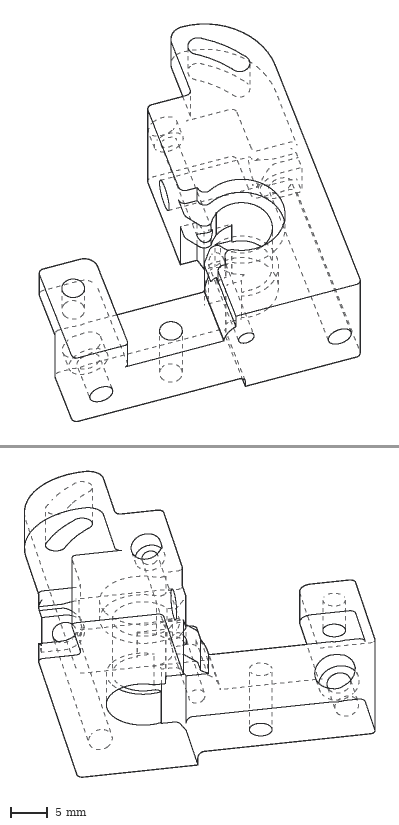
import cadquery as cq
import math

length = 48.05
width = 41.15
height = 17.0
corner_radius = 0.75

block_left = 11.05
block_front = 22.4
lug_bottom = 11.05
lug_front = 28.9
lug_big_radius = 10.1
slot_radius = 1.4
slot_start = (3.75, 32.15)
slot_end = (8.15, 36.65)
slot_bulge = 0.35

bore_x = 32.25
bore_y = 29.15
bore_radius = 4.2
clip_bottom = 8.9
clip_top = 14.0
upper_bore_radius = 5.9
lower_bore_radius = 5.0
lower_bore_depth = 5.05
mouth_left = 26.1
mouth_corner_radius = 0.9
shoulder_right_y = 24.55
shoulder_left_y = 24.8
shoulder_inner_y = 25.25
shoulder_radius = 0.95
throat_half_width = 0.95
throat_y = 24.7
throat_radius = 1.15
funnel_inner_half_width = 3.45
funnel_inner_y = 26.65
funnel_outer_half_width = 4.25
funnel_outer_radius = 0.95
channel_left = 27.85
channel_right = 37.2
channel_back = 27.55
channel_radius = 0.8

arm_left = 39.45
arm_bottom = 2.1
arm_top = 11.95
arm_root_y = 23.2
arm_root_radius = 0.9
arm_hole_x = 44.25
arm_hole_y = 15.2
rib_left = 38.55
rib_z = 11.75
rib_radius = 3.2
rib_cove_radius = 0.3
end_left = 32.55
end_width = 7.95
end_back_radius = 1.9
end_notch_radius = 0.5
end_hole_x = 36.85
end_hole_y = 3.65
end_clearance_radius = 2.75
vertical_hole_radius = 1.55

clamp_hole_y = 24.7
clamp_hole_z = 11.25
clamp_hole_radius = 1.1
clamp_head_radius = 2.05
clamp_head_depth = 2.8
arm_bolt_y = 4.05
arm_bolt_z = 7.05
bolt_radius = 1.65
arm_bolt_head_radius = 2.8
arm_bolt_head_depth = 2.9
front_hole_x = 19.05
front_hole_z = 6.8
front_hole_radius = 2.1

relief_front = 35.1
relief_depth = 7.7
seat_y = 38.0
seat_z = 5.85
seat_radius = 2.85
seat_depth = 2.9
seat_lip_radius = 1.1


def box(x_range, y_range, z_range):
    size = [high - low for low, high in (x_range, y_range, z_range)]
    return cq.Workplane("XY").box(*size, centered=False).translate((x_range[0], y_range[0], z_range[0]))


def cylinder_x(y, z, radius, start, end):
    return cq.Workplane("YZ", origin=(start, y, z)).circle(radius).extrude(end - start)


def cylinder_z(x, y, radius, bottom, top):
    return cq.Workplane("XY", origin=(x, y, bottom)).circle(radius).extrude(top - bottom)


def prism(points, bottom, top):
    return cq.Workplane("XY", origin=(0, 0, bottom)).polyline(points).close().extrude(top - bottom)


def round_vertical(solid, places, radius, bottom=0.0, top=height):
    """Round the vertical edges that stand at the given XY places between two heights."""
    reach = 0.15
    for x, y in places:
        selector = cq.selectors.BoxSelector(
            (x - reach, y - reach, bottom - reach), (x + reach, y + reach, top + reach), boundingbox=True
        )
        solid = solid.edges("|Z").edges(selector).fillet(radius)
    return solid


def make_plate():
    """Upper layer of the block together with the lug."""
    big_turn = lug_big_radius * math.sqrt(0.5)
    big_y = width - lug_big_radius
    tip_radius = big_y - lug_front
    tip_sag = tip_radius * (1 - math.sqrt(0.5))
    plate = (
        cq.Workplane("XY", origin=(0, 0, lug_bottom))
        .moveTo(block_left, block_front)
        .lineTo(length, block_front)
        .lineTo(length, width)
        .lineTo(lug_big_radius, width)
        .threePointArc((lug_big_radius - big_turn, big_y + big_turn), (0, big_y))
        .threePointArc((tip_sag, lug_front + tip_sag), (tip_radius, lug_front))
        .lineTo(block_left, lug_front)
        .close()
        .extrude(height - lug_bottom)
    )
    corners = [(block_left, lug_front), (block_left, block_front), (length, width)]
    return round_vertical(plate, corners, corner_radius)


def make_slot():
    """Slightly curved slot through the lug."""
    dx = slot_end[0] - slot_start[0]
    dy = slot_end[1] - slot_start[1]
    chord = math.hypot(dx, dy)
    nx, ny = -dy / chord, dx / chord

    def side(offset, bulge):
        first = (slot_start[0] + nx * offset, slot_start[1] + ny * offset)
        last = (slot_end[0] + nx * offset, slot_end[1] + ny * offset)
        middle = ((first[0] + last[0]) / 2 + nx * bulge, (first[1] + last[1]) / 2 + ny * bulge)
        return first, middle, last

    outer = side(slot_radius, slot_bulge)
    inner = side(-slot_radius, slot_bulge)
    web = (
        cq.Workplane("XY", origin=(0, 0, lug_bottom))
        .moveTo(*outer[0])
        .threePointArc(outer[1], outer[2])
        .lineTo(*inner[2])
        .threePointArc(inner[1], inner[0])
        .close()
        .extrude(height - lug_bottom)
    )
    for x, y in (slot_start, slot_end):
        web = web.union(cylinder_z(x, y, slot_radius, lug_bottom, height))
    return web


def make_lower_block():
    """Block below the lug, with its relieved rear part and the bolt-head seat."""
    relief_left = block_left + relief_depth
    outline = [
        (block_left, block_front),
        (length, block_front),
        (length, width),
        (relief_left, width),
        (relief_left, relief_front),
        (block_left, relief_front),
    ]
    block = prism(outline, 0, lug_bottom)
    corners = [
        (block_left, block_front),
        (length, width),
        (relief_left, width),
        (relief_left, relief_front),
        (block_left, relief_front),
    ]
    block = round_vertical(block, corners, corner_radius, 0, lug_bottom)
    return block.cut(make_seat(relief_left))


def make_seat(face_x):
    """U-shaped seat sunk into the relief face, open to the rear, with a rounded lip."""
    mouth_radius = seat_radius + seat_lip_radius
    lip_sag = seat_lip_radius * (1 - math.sqrt(0.5))
    section = (
        cq.Workplane("XZ", origin=(0, seat_y, seat_z))
        .moveTo(block_left, 0)
        .lineTo(block_left, mouth_radius)
        .lineTo(face_x, mouth_radius)
        .threePointArc((face_x + lip_sag, seat_radius + lip_sag), (face_x + seat_lip_radius, seat_radius))
        .lineTo(face_x + seat_depth, seat_radius)
        .lineTo(face_x + seat_depth, 0)
        .close()
    )
    round_end = section.revolve(360, (0, 0, 0), (1, 0, 0))
    upper_half = section.toPending().extrude(seat_y - width)
    lower_half = upper_half.mirror("XY", (0, 0, seat_z))
    seat = round_end.union(upper_half).union(lower_half)
    return seat.intersect(box((0, length), (relief_front, width), (0, lug_bottom)))


def make_upper_mouth():
    """Opening above the clip: a round pocket whose neck widens towards the front."""
    half_neck = math.sqrt(upper_bore_radius**2 - (bore_y - shoulder_inner_y) ** 2)
    shoulders = [(bore_x - half_neck, shoulder_inner_y), (bore_x + half_neck, shoulder_inner_y)]
    neck = prism(
        [
            (mouth_left, 0),
            (mouth_left, shoulder_left_y),
            *shoulders,
            (arm_left, shoulder_right_y),
            (arm_left, 0),
        ],
        clip_top,
        height,
    )
    mouth = cylinder_z(bore_x, bore_y, upper_bore_radius, clip_top, height).union(neck)
    return round_vertical(mouth, shoulders, shoulder_radius, clip_top)


def make_clip_mouth():
    """Bore of the clip with the narrow throat that snaps around the clamped rod."""
    half = [
        (funnel_inner_half_width, funnel_inner_y),
        (throat_half_width, throat_y),
        (funnel_outer_half_width, block_front),
        (funnel_outer_half_width, 0),
    ]
    right = [(bore_x + x, y) for x, y in half]
    left = [(bore_x - x, y) for x, y in reversed(half)]
    funnel = prism(right + left, clip_bottom, clip_top)
    throat = [(bore_x + side * throat_half_width, throat_y) for side in (-1, 1)]
    funnel = round_vertical(funnel, throat, throat_radius)
    return funnel.union(cylinder_z(bore_x, bore_y, bore_radius, clip_bottom, clip_top))


def make_lower_mouth():
    """Opening below the clip: a stepped bore with a straight channel to the front."""
    channel = prism(
        [
            (mouth_left, 0),
            (mouth_left, shoulder_left_y),
            (channel_left, shoulder_inner_y),
            (channel_left, bore_y),
            (bore_x, bore_y),
            (bore_x, channel_back),
            (channel_right, channel_back),
            (channel_right, shoulder_inner_y),
            (arm_left, shoulder_right_y),
            (arm_left, 0),
        ],
        0,
        clip_bottom,
    )
    channel = round_vertical(channel, [(channel_right, shoulder_inner_y)], corner_radius)
    ledge_x = bore_x + math.sqrt(bore_radius**2 - (bore_y - channel_back) ** 2)
    mouth = channel.union(cylinder_z(bore_x, bore_y, bore_radius, 0, clip_bottom))
    mouth = round_vertical(mouth, [(ledge_x, channel_back)], channel_radius, 0, clip_bottom)
    return mouth.union(cylinder_z(bore_x, bore_y, lower_bore_radius, 0, lower_bore_depth))


def make_body():
    """Block with its lug, clamp opening and the set-back front face behind the arm."""
    body = make_plate().union(make_lower_block())
    body = body.cut(box((arm_left, length), (0, arm_root_y), (0, height)))
    body = body.cut(box((arm_left, length), (0, shoulder_right_y), (0, arm_bottom)))
    body = body.cut(make_upper_mouth()).cut(make_clip_mouth()).cut(make_lower_mouth())
    rims = [(bore_x + side * funnel_outer_half_width, block_front) for side in (-1, 1)]
    body = round_vertical(body, rims, funnel_outer_radius, clip_bottom, clip_top)
    body = round_vertical(body, [(mouth_left, block_front), (arm_left, arm_root_y)], mouth_corner_radius, clip_top)
    return body.cut(make_slot())


def make_rib():
    """Rounded rib over the arm root, its inner end bevelled in front of the clip."""
    front = clamp_hole_y - rib_radius
    rib = cylinder_x(clamp_hole_y, rib_z, rib_radius, rib_left, length)
    rib = rib.intersect(box((rib_left, length), (front, arm_root_y), (rib_z, height)))
    rib = rib.union(box((rib_left, length), (front, arm_root_y), (clip_bottom, rib_z)))
    bevel = block_front - front
    corner = [(rib_left, front), (rib_left + bevel, front), (rib_left, block_front)]
    rib = rib.cut(prism(corner, 0, height))
    return rib.cut(box((rib_left, arm_left), (0, width), (clip_top, height)))


def make_cove(edge_y, edge_z, radius, up):
    """Concave fillet along the arm between a Y-facing front face and the arm's top or underside."""
    far_z = edge_z + up * radius
    corner = box((arm_left, length), (edge_y - radius, edge_y), (min(edge_z, far_z), max(edge_z, far_z)))
    return corner.cut(cylinder_x(edge_y - radius, far_z, radius, arm_left, length))


def make_arm():
    """Arm with the end block, their vertical holes and the bolt hole through the arm's end."""
    arm = box((arm_left, length), (0, shoulder_right_y), (arm_bottom, arm_top))
    end = box((end_left, length), (0, end_width), (arm_top, height))
    end = round_vertical(end, [(end_left, end_width)], end_back_radius)
    end = round_vertical(end, [(end_left, 0), (length, 0)], corner_radius)
    end = round_vertical(end, [(length, end_width)], end_notch_radius)
    arm = round_vertical(arm, [(arm_left, 0), (length, 0)], corner_radius)
    arm = arm.union(end)
    arm = arm.cut(cylinder_z(end_hole_x, end_hole_y, end_clearance_radius, 0, arm_top))
    for x, y in [(arm_hole_x, arm_hole_y), (end_hole_x, end_hole_y)]:
        arm = arm.cut(cylinder_z(x, y, vertical_hole_radius, 0, height))
    head_bottom = arm_left + arm_bolt_head_depth
    arm = arm.cut(cylinder_x(arm_bolt_y, arm_bolt_z, arm_bolt_head_radius, end_left, head_bottom))
    return arm.cut(cylinder_x(arm_bolt_y, arm_bolt_z, bolt_radius, end_left, length))


def drill_block(part):
    """Clamp screw hole with its head recess, bolt hole through the seat, and the front hole."""
    part = part.cut(cylinder_x(clamp_hole_y, clamp_hole_z, clamp_hole_radius, block_left, length))
    clamp_head_end = block_left + clamp_head_depth
    part = part.cut(cylinder_x(clamp_hole_y, clamp_hole_z, clamp_head_radius, block_left, clamp_head_end))
    part = part.cut(cylinder_x(seat_y, seat_z, bolt_radius, block_left, length))
    front_hole = (
        cq.Workplane("XZ", origin=(front_hole_x, width, front_hole_z))
        .circle(front_hole_radius)
        .extrude(width)
    )
    return part.cut(front_hole)


part = make_body().union(make_rib()).union(make_arm())
part = part.union(make_cove(shoulder_right_y, arm_bottom, arm_root_radius, -1))
part = part.union(make_cove(clamp_hole_y - rib_radius, arm_top, rib_cove_radius, 1))
result = drill_block(part)